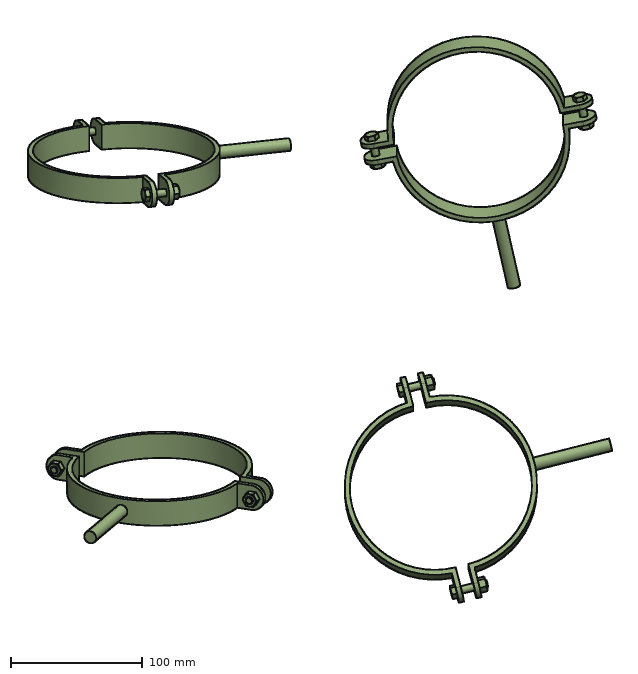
import cadquery as cq
import math

overall_length = 207.0
overall_width = 180.0
band_height = 20.0
band_thickness = 4.0
band_outer_radius = 68.5
clamp_gap = 10.0
band_inner_radius = band_outer_radius - band_thickness
arc_center_y = clamp_gap / 2
ear_outer_y = arc_center_y + band_thickness
clamp_top_y = arc_center_y + band_outer_radius

rod_diameter = 10.0
rod_tip_y = overall_length - clamp_top_y

bolt_x = 81.0
shank_diameter = 6.0
shank_tip_diameter = 5.0
shank_tip_chamfer = (shank_diameter - shank_tip_diameter) / 2
shank_protrusion = 1.0
head_across_flats = 9.3
head_face_diameter = 9.1
head_height = 4.0
nut_across_flats = 10.4
nut_face_diameter = 10.0
nut_height = 5.8
hex_chamfer_angle = 30.0
nut_outer_y = ear_outer_y + nut_height


def cylinder_y(diameter, y_start, y_end, x=0.0):
    """Cylinder along Y between two Y positions."""
    plane = cq.Plane(origin=(x, y_start, 0), xDir=(1, 0, 0), normal=(0, 1, 0))
    return cq.Workplane(plane).circle(diameter / 2).extrude(y_end - y_start)


def hexagon_y(across_flats, face_diameter, height):
    """Hexagonal prism along +Y from the origin, corners on X, its far end chamfered to a circle."""
    corner_radius = across_flats / math.sqrt(3)
    face_radius = face_diameter / 2
    chamfer_drop = (corner_radius - face_radius) * math.tan(math.radians(hex_chamfer_angle))
    plane = cq.Plane(origin=(0, 0, 0), xDir=(1, 0, 0), normal=(0, 1, 0))
    prism = cq.Workplane(plane).polygon(6, 2 * corner_radius).extrude(height)
    envelope = (
        cq.Workplane("XY")
        .moveTo(0, 0)
        .lineTo(corner_radius, 0)
        .lineTo(corner_radius, height - chamfer_drop)
        .lineTo(face_radius, height)
        .lineTo(0, height)
        .close()
        .revolve(360, (0, 0, 0), (0, 1, 0))
    )
    return prism.intersect(envelope)


def make_rear_half():
    """Half ring on the +Y side with a round-ended, drilled ear at each end."""
    ear_tip_x = overall_width / 2
    outer_arc_end_x = math.sqrt(band_outer_radius**2 - band_thickness**2)
    profile = (
        cq.Workplane("XY", origin=(0, arc_center_y, -band_height / 2))
        .moveTo(band_inner_radius, 0)
        .lineTo(ear_tip_x, 0)
        .lineTo(ear_tip_x, band_thickness)
        .lineTo(outer_arc_end_x, band_thickness)
        .threePointArc((0, band_outer_radius), (-outer_arc_end_x, band_thickness))
        .lineTo(-ear_tip_x, band_thickness)
        .lineTo(-ear_tip_x, 0)
        .lineTo(-band_inner_radius, 0)
        .threePointArc((0, band_inner_radius), (band_inner_radius, 0))
        .close()
        .extrude(band_height)
    )
    rounded_outline = (
        cq.Workplane("XZ")
        .slot2D(overall_width, band_height)
        .extrude(-clamp_top_y)
    )
    half = profile.intersect(rounded_outline)
    for x in (-bolt_x, bolt_x):
        half = half.cut(cylinder_y(shank_diameter, arc_center_y, ear_outer_y, x))
    return half


def make_rod():
    """Rod standing on the rear half, its foot shaped to the band."""
    band_cylinder = (
        cq.Workplane("XY", origin=(0, arc_center_y, -band_height / 2))
        .circle(band_outer_radius)
        .extrude(band_height)
    )
    return cylinder_y(rod_diameter, arc_center_y, rod_tip_y).cut(band_cylinder)


def make_bolt(x):
    """Bolt through both ears, its hexagonal head against the front ear."""
    shank = (
        cylinder_y(shank_diameter, -ear_outer_y, nut_outer_y + shank_protrusion)
        .faces(">Y")
        .chamfer(shank_tip_chamfer)
    )
    head = hexagon_y(head_across_flats, head_face_diameter, head_height)
    head = head.mirror("XZ").translate((0, -ear_outer_y, 0))
    return head.union(shank).translate((x, 0, 0))


def make_nut(x):
    """Hexagonal nut against the rear ear."""
    blank = hexagon_y(nut_across_flats, nut_face_diameter, nut_height)
    blank = blank.translate((x, ear_outer_y, 0))
    return blank.cut(cylinder_y(shank_diameter, ear_outer_y, nut_outer_y, x))


rear_half = make_rear_half()
front_half = rear_half.mirror("XZ")
rod = make_rod()
bolts = [make_bolt(x) for x in (-bolt_x, bolt_x)]
nuts = [make_nut(x) for x in (-bolt_x, bolt_x)]

result = cq.Compound.makeCompound(
    [
        rear_half.val(),
        front_half.val(),
        rod.val(),
        *[bolt.val() for bolt in bolts],
        *[nut.val() for nut in nuts],
    ]
)